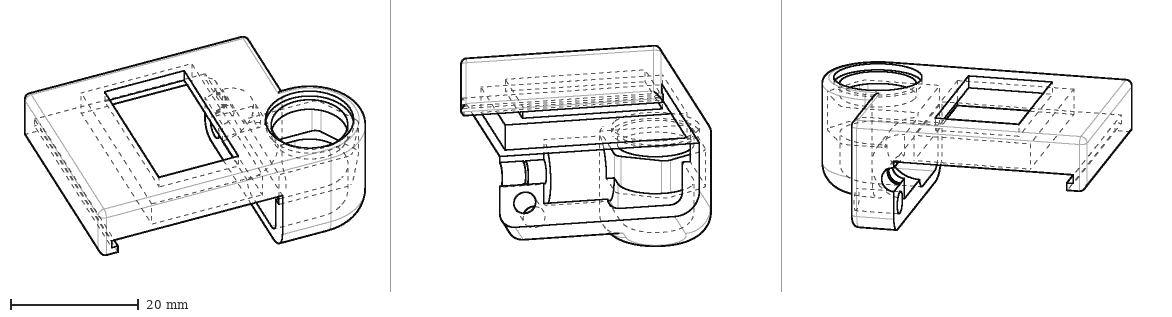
import cadquery as cq
import math

width = 32.0
length = 47.8
height = 18.0
edge_radius = 1.0

tower_radius = 8.75
tower_x = width - tower_radius
tower_y = length - tower_radius
tower_bottom_radius = 3.95

back_y = 37.9
block_front_y = 30.9
plate_bottom_z = 11.9
hook_bottom_z = 9.25
hook_top_z = 10.5
hook_reach = 3.0
front_wall = 1.95
block_left_radius = 2.5

window_x = 22.35
window_y = 13.5
window_center_x = width / 2
window_center_y = 18.65
window_depth = 1.95
cavity_margin_x = 3.35
cavity_margin_y = 2.65

recess_diameter = 13.8
recess_depth = 1.0
bore_diameter = 12.0
nut_width = 14.5
nut_bottom_z = 8.95
nut_top_z = 15.05
nut_corner_radius = 1.45

pocket_floor_z = 1.95
pocket_floor_radius = 1.95

axle_z = nut_bottom_z
axle_radius = 1.95
wheel_radius = 5.3
wheel_x = 7.07
rib_x = 3.8
rib_width = 0.45
rib_height = 0.15
cord_hole_diameter = 3.5
cord_hole_x = 4.0
cord_hole_z = 3.95


def box(x0, x1, y0, y1, z0, z1):
    """Box given by its limits along each axis."""
    return cq.Workplane("XY").box(x1 - x0, y1 - y0, z1 - z0, centered=False).translate((x0, y0, z0))


def x_cylinder(radius, x0, x1):
    """Cylinder along X on the axle line in the front face of the block."""
    start = cq.Vector(x0, block_front_y, axle_z)
    return cq.Workplane(cq.Solid.makeCylinder(radius, x1 - x0, start, cq.Vector(1, 0, 0)))


def tower_disc(diameter, z0, z1):
    """Vertical cylinder on the tower axis."""
    return cq.Workplane("XY").workplane(offset=z0).center(tower_x, tower_y).circle(diameter / 2).extrude(z1 - z0)


def arched_prism(radius, z0, z1):
    """Slot of full width from the block front to a half round on the tower axis."""
    return (
        cq.Workplane("XY")
        .workplane(offset=z0)
        .moveTo(tower_x - radius, block_front_y)
        .lineTo(tower_x - radius, tower_y)
        .threePointArc((tower_x, tower_y + radius), (tower_x + radius, tower_y))
        .lineTo(tower_x + radius, block_front_y)
        .close()
        .extrude(z1 - z0)
    )


def make_base():
    """Plate, block and hook as one side profile, with rounded lower and vertical edges."""
    base = (
        cq.Workplane("YZ")
        .polyline([
            (0, hook_bottom_z),
            (hook_reach, hook_bottom_z),
            (hook_reach, hook_top_z),
            (front_wall, hook_top_z),
            (front_wall, plate_bottom_z),
            (block_front_y, plate_bottom_z),
            (block_front_y, 0),
            (back_y, 0),
            (back_y, height),
            (0, height),
        ])
        .close()
        .extrude(width)
    )
    base = base.edges("|Y and <Z and <X").fillet(block_left_radius)
    base = base.edges("|Y and <Z and >X").fillet(tower_bottom_radius)
    return base


def make_tower():
    """Round-backed tower with a rounded bottom rim."""
    tower = arched_prism(tower_radius, 0, height)
    rim = tower.faces("<Z").edges("not(<Y)")
    return rim.fillet(tower_bottom_radius)


def make_body():
    """Base and tower joined, with the outer edges rounded."""
    base = make_base()
    base = base.faces("<Y").edges("|Z or <Z").fillet(edge_radius)
    rear_left = cq.selectors.BoxSelector((-0.5, back_y - 0.05, -0.5), (tower_x, back_y + 0.05, height - 0.5))
    base = base.edges(rear_left).fillet(edge_radius)
    return base.union(make_tower()).faces(">Z").edges().fillet(edge_radius)


def make_window():
    """Rectangular window opening into a wider cavity on the underside."""
    ceiling_z = height - window_depth
    center = cq.Workplane("XY").center(window_center_x, window_center_y)
    window = center.rect(window_x, window_y).extrude(height)
    cavity = center.rect(window_x + 2 * cavity_margin_x, window_y + 2 * cavity_margin_y).extrude(ceiling_z)
    return window.union(cavity)


def make_bore():
    """Stepped bore, hexagonal nut slot open to the front, and rounded pocket."""
    recess = tower_disc(recess_diameter, height - recess_depth, height)
    bore = tower_disc(bore_diameter, nut_bottom_z, height)
    hexagon = (
        cq.Workplane("XY")
        .workplane(offset=nut_bottom_z)
        .polygon(6, nut_width / math.cos(math.pi / 6))
        .extrude(nut_top_z - nut_bottom_z)
        .edges("|Z")
        .fillet(nut_corner_radius)
        .rotate((0, 0, 0), (0, 0, 1), 30)
        .translate((tower_x, tower_y, 0))
    )
    entry = box(
        tower_x - nut_width / 2, tower_x + nut_width / 2, block_front_y, tower_y, nut_bottom_z, nut_top_z
    )
    pocket = arched_prism(bore_diameter / 2, pocket_floor_z, nut_top_z)
    pocket = pocket.faces("<Z").edges("not(<Y)").fillet(pocket_floor_radius)
    return recess.union(bore).union(hexagon).union(entry).union(pocket)


def make_wheel_space():
    """Axle groove with a thin rib, and the wheel hollow beside the pocket."""
    wheel = x_cylinder(wheel_radius, wheel_x, tower_x)
    wheel = wheel.intersect(box(0, width, block_front_y, length, 0, height))
    rib_end = rib_x + rib_width
    groove = x_cylinder(axle_radius, 0, rib_x)
    groove = groove.union(x_cylinder(axle_radius - rib_height, rib_x, rib_end))
    return groove.union(x_cylinder(axle_radius, rib_end, wheel_x)).union(wheel)


def make_cord_hole():
    """Round hole through the block along Y."""
    start = cq.Vector(cord_hole_x, block_front_y, cord_hole_z)
    return cq.Workplane(cq.Solid.makeCylinder(cord_hole_diameter / 2, length, start, cq.Vector(0, 1, 0)))


result = make_body()
for cutter in (make_window(), make_bore(), make_wheel_space(), make_cord_hole()):
    result = result.cut(cutter)